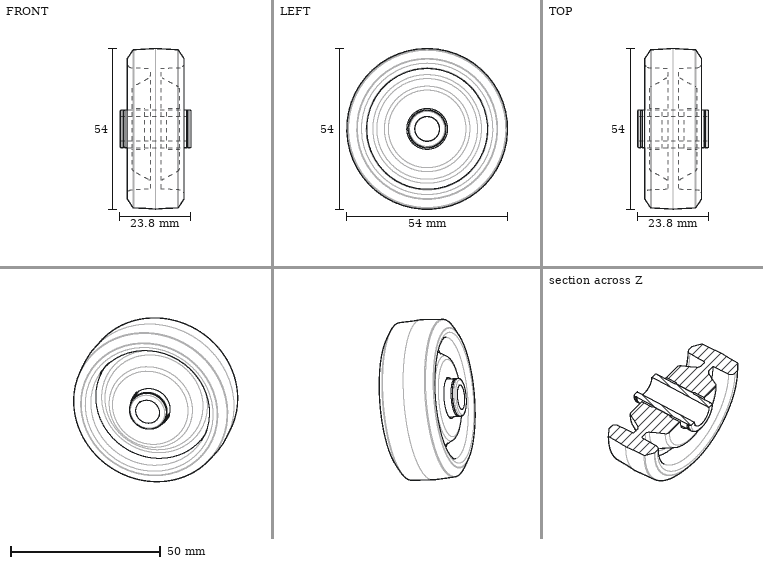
import cadquery as cq
import math


crown_radius = 27.0
tread_edge_radius = 26.55
tread_half_width = 7.55
wheel_half_width = 9.55
side_face_radius = 23.55
edge_fillet = 0.45
rim_mouth_radius = 20.5
rim_floor_radius = 20.25
rim_fillet = 1.55

web_half_thickness = 1.75
boss_half_width = 8.0
boss_root_radius = 17.35
boss_top_radius = 13.95
boss_fillet = 1.5

hub_half_length = 23.8 / 2
hub_radius = 6.35
bore_radius = 4.1
hub_end_fillet = 0.5
recess_radius = 6.85
recess_depth = 4.3

groove_outer = 10.9
groove_bottom = 10.75
groove_inner = 10.35
groove_depth = 0.2


def turned(half_profile):
    """Revolve a half profile about X and add its mirror image."""
    half = (
        cq.Workplane("XZ")
        .polyline(half_profile)
        .close()
        .revolve(360, (0, 0, 0), (1, 0, 0))
    )
    return half.union(half.mirror("YZ"))


def round_rings(body, distance, radius, fillet):
    """Fillet the circular edge of the given radius on both sides of the mid-plane."""
    tolerance = 0.0005

    def is_ring(edge):
        at_distance = math.isclose(abs(edge.Center().x), distance, abs_tol=tolerance)
        return at_distance and math.isclose(edge.radius(), radius, abs_tol=tolerance)

    return body.edges("%CIRCLE").filter(is_ring).fillet(fillet)


def make_wheel():
    recess_floor = boss_half_width - recess_depth
    body = turned([
        (0, hub_radius),
        (recess_floor, hub_radius),
        (recess_floor, recess_radius),
        (boss_half_width, recess_radius),
        (boss_half_width, boss_top_radius),
        (web_half_thickness, boss_root_radius),
        (web_half_thickness, rim_floor_radius),
        (wheel_half_width, rim_mouth_radius),
        (wheel_half_width, side_face_radius),
        (tread_half_width, tread_edge_radius),
        (0, crown_radius),
    ])
    body = round_rings(body, tread_half_width, tread_edge_radius, edge_fillet)
    body = round_rings(body, wheel_half_width, side_face_radius, edge_fillet)
    body = round_rings(body, wheel_half_width, rim_mouth_radius, rim_fillet)
    body = round_rings(body, boss_half_width, boss_top_radius, boss_fillet)
    return round_rings(body, web_half_thickness, boss_root_radius, boss_fillet)


def make_hub():
    body = turned([
        (0, bore_radius),
        (hub_half_length, bore_radius),
        (hub_half_length, hub_radius),
        (groove_outer, hub_radius),
        (groove_bottom, hub_radius - groove_depth),
        (groove_inner, hub_radius),
        (0, hub_radius),
    ])
    return round_rings(body, hub_half_length, hub_radius, hub_end_fillet)


wheel = make_wheel()
hub = make_hub()

result = cq.Compound.makeCompound([wheel.val(), hub.val()])